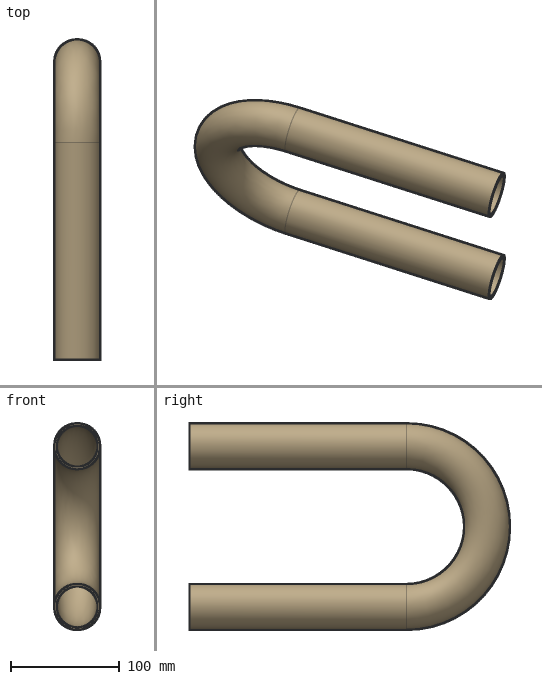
import cadquery as cq

overall_length = 295.2
overall_height = 190.5
tube_diameter = 42.5
wall_thickness = 2.5

tube_radius = tube_diameter / 2
bore_radius = tube_radius - wall_thickness
bend_radius = (overall_height - tube_diameter) / 2
leg_length = overall_length - bend_radius - tube_radius


def ring():
    """Tube cross-section at the open end of the lower leg."""
    return (
        cq.Workplane("XZ", origin=(0, 0, -bend_radius))
        .circle(tube_radius)
        .circle(bore_radius)
    )


lower_leg = ring().extrude(-leg_length)
upper_leg = lower_leg.mirror("XY")

bend = (
    ring()
    .revolve(180, (-3, bend_radius, 0), (3, bend_radius, 0))
    .translate((0, leg_length, 0))
)

result = lower_leg.union(bend).union(upper_leg)